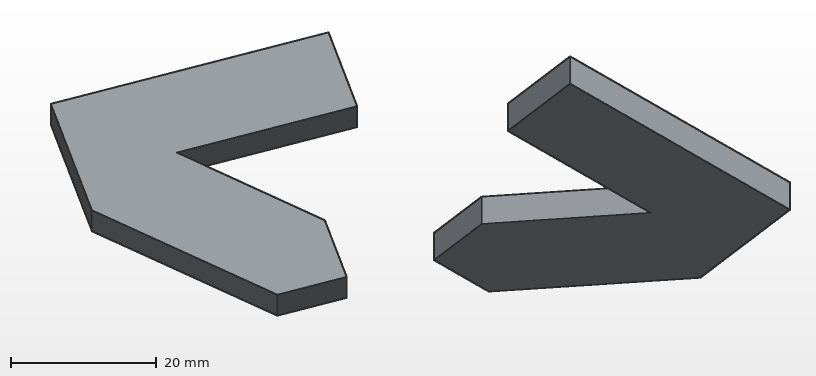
import cadquery as cq

side = 40.0
thickness = 5.0
upright_width = 13.05
base_length = 18.8
notch_height = 14.05
tip_top = 30.0
tip_size = 10.0

outline = [
    (0, 0),
    (base_length, 0),
    (side, tip_top - tip_size),
    (side, tip_top),
    (side - tip_size, tip_top),
    (upright_width, notch_height),
    (upright_width, side),
    (0, side),
]

result = cq.Workplane("XY").polyline(outline).close().extrude(thickness)